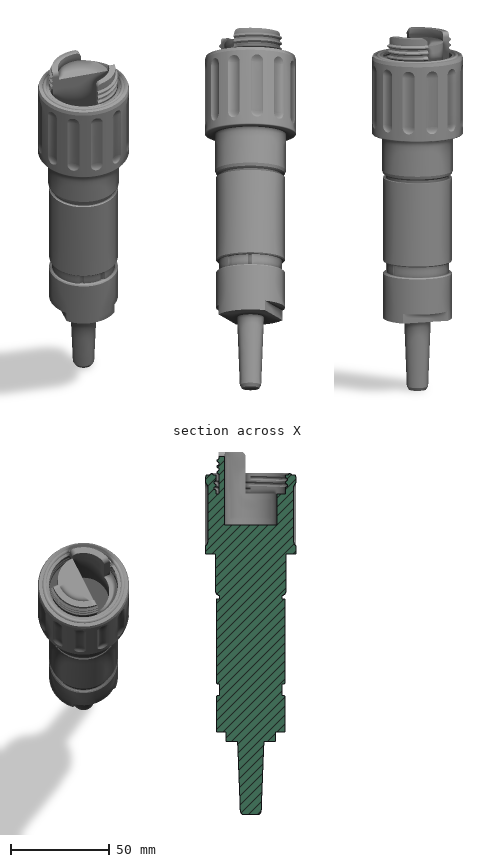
import cadquery as cq
import math

total_height = 184.2
nut_bottom = 37.0
nut_top = 60.8
sleeve_bottom = 66.3
sleeve_top = 109.8
seal_groove_top = 111.0
shell_bottom = 112.0
shell_chamfer_top = 113.5
collar_bottom = 132.3
collar_top = 172.8
recess_floor = 163.0
socket_floor = 147.4

tip_radius = 4.5
cable_bottom_radius = 5.43
cable_top_radius = 6.8
cable_tip_chamfer = 1.7
nut_radius = 17.5
neck_radius = 16.0
shell_radius = 18.0
shell_lip_radius = 17.5
collar_radius = 23.2
nut_chamfer = 0.5

flat_half_distance = 12.7
flat_height = 5.0

finger_radius = 15.5
finger_half_width = 4.6
finger_slot_width = 2.0
finger_slot_floor = 14.0

collar_top_chamfer = 1.7
collar_top_chamfer_width = 0.5
collar_bottom_fillet = 0.5
lip_center_radius = 19.9
lip_half_width = 1.0
lip_height = 0.5
recess_radius = 17.5
flute_count = 12
flute_half_width = 3.3
flute_depth = 1.5
flute_radius = (flute_half_width**2 + flute_depth**2) / (2 * flute_depth)
flute_center_radius = collar_radius - flute_depth + flute_radius
flute_bottom = 136.3
flute_top = 168.7

plug_radius = 16.2
plug_bore_radius = 13.0
core_top = 179.8
end_gap = 2.5
end_fillet = 2.4

thread_pitch = 3.0
thread_depth = 1.1
thread_root_width = 2.4
thread_crest_width = 0.5
thread_overlap = 0.2
outer_thread_bottom = 173.2
outer_thread_turns = 3
inner_thread_bottom = 165.0
inner_thread_turns = 2


def box_between(x_range, y_range, z_range):
    """Axis-aligned box given by its limits along each axis."""
    size = [limits[1] - limits[0] for limits in (x_range, y_range, z_range)]
    corner = (x_range[0], y_range[0], z_range[0])
    return cq.Workplane("XY").box(*size, centered=False).translate(corner)


def cylinder(radius, bottom, top):
    return cq.Workplane("XY").workplane(offset=bottom).circle(radius).extrude(top - bottom)


def turned_body():
    """Cable sleeve, gland nut, neck, sleeve, seal groove and shell, as one revolved outline."""
    outline = [
        (0, 0),
        (tip_radius, 0),
        (cable_bottom_radius, cable_tip_chamfer),
        (cable_top_radius, nut_bottom),
        (nut_radius, nut_bottom),
        (nut_radius, nut_top - nut_chamfer),
        (nut_radius - nut_chamfer, nut_top),
        (neck_radius, nut_top),
        (neck_radius, sleeve_bottom),
        (nut_radius - nut_chamfer, sleeve_bottom),
        (nut_radius, sleeve_bottom + nut_chamfer),
        (nut_radius, sleeve_top),
        (neck_radius, sleeve_top),
        (neck_radius, seal_groove_top),
        (shell_lip_radius, shell_bottom),
        (shell_radius, shell_chamfer_top),
        (shell_radius, collar_bottom),
        (0, collar_bottom),
    ]
    return cq.Workplane("XZ").polyline(outline).close().revolve(360, (0, 0), (0, 1))


def wrench_flats():
    """Material removed from the -Y and +Y sides of the nut's lower end."""
    z_range = (nut_bottom, nut_bottom + flat_height)
    x_range = (-nut_radius, nut_radius)
    front = box_between(x_range, (-nut_radius, -flat_half_distance), z_range)
    return front.union(front.mirror("XZ"))


def finger_cuts():
    """Slots either side of a slightly lowered finger, on the -X and +X sides of the neck."""
    z_range = (nut_top, sleeve_bottom)
    x_range = (finger_slot_floor, neck_radius)
    lowered = box_between(x_range, (-finger_half_width, finger_half_width), z_range)
    cuts = lowered.cut(cylinder(finger_radius, *z_range))
    slot = box_between(x_range, (finger_half_width, finger_half_width + finger_slot_width), z_range)
    cuts = cuts.union(slot).union(slot.mirror("XZ"))
    return cuts.union(cuts.mirror("YZ"))


def flute():
    """Round-ended gripping flute at the -Y side of the collar."""
    bottom_center = flute_bottom + flute_half_width
    top_center = flute_top - flute_half_width
    bar = cylinder(flute_radius, bottom_center, top_center)
    for height in (bottom_center, top_center):
        bar = bar.union(cq.Workplane("XY").sphere(flute_radius).translate((0, 0, height)))
    return bar.translate((0, -flute_center_radius, 0))


def helical_ridge(radius, bottom, turns):
    """Trapezoidal ridge wound round Z, its root just inside the given radius."""
    path = cq.Wire.makeHelix(thread_pitch, thread_pitch * turns, radius)
    root = radius - thread_overlap
    crest = radius + thread_depth
    half_root = thread_root_width / 2
    half_crest = thread_crest_width / 2
    profile = [(root, -half_root), (crest, -half_crest), (crest, half_crest), (root, half_root)]
    ridge = cq.Workplane("XZ").polyline(profile).close().sweep(cq.Workplane(path), isFrenet=True)
    return ridge.translate((0, 0, bottom))


def collar():
    """Fluted coupling ring with a domed top lip and a threaded recess."""
    body = cylinder(collar_radius, collar_bottom, collar_top)
    body = body.faces("<Z").edges().fillet(collar_bottom_fillet)
    body = body.faces(">Z").edges().chamfer(collar_top_chamfer, collar_top_chamfer_width)
    lip = (
        cq.Workplane("XZ")
        .moveTo(lip_center_radius - lip_half_width, collar_top)
        .threePointArc(
            (lip_center_radius, collar_top + lip_height),
            (lip_center_radius + lip_half_width, collar_top),
        )
        .close()
        .revolve(360, (0, 0), (0, 1))
    )
    body = body.union(lip)
    body = body.cut(cylinder(recess_radius, recess_floor, collar_top))
    body = body.cut(helical_ridge(recess_radius, inner_thread_bottom, inner_thread_turns))
    for index in range(flute_count):
        body = body.cut(flute().rotate((0, 0, 0), (0, 0, 1), index * 360 / flute_count))
    return body


def corner_rounding(plane, edge, direction, length):
    """Waste outside a rounded top corner of a wall that runs from the edge in the given direction."""
    diagonal = end_fillet * (1 - math.cos(math.pi / 4))
    return (
        cq.Workplane(plane)
        .moveTo(edge, total_height)
        .lineTo(edge, total_height - end_fillet)
        .threePointArc(
            (edge + direction * diagonal, total_height - diagonal),
            (edge + direction * end_fillet, total_height),
        )
        .close()
        .extrude(length)
    )


def opening():
    """Gap in the plug wall over X > 0, Y < end_gap, with the wall's upper corners rounded off."""
    reach = 2 * plug_radius
    height = total_height - recess_floor
    gap = box_between((0, reach), (-reach, end_gap), (recess_floor, total_height))
    x_rounding = corner_rounding("XZ", 0, -1, reach)
    y_rounding = corner_rounding("YZ", end_gap, 1, reach)
    return gap.union(x_rounding).union(y_rounding)


def half_bore(bottom, top):
    """Socket on the +X half of the plug bore."""
    half = box_between((0, plug_radius), (-plug_radius, plug_radius), (bottom, top))
    return half.intersect(cylinder(plug_bore_radius, bottom, top))


def plug():
    """Two opposed threaded wall segments and the half-round core between them."""
    wall = cylinder(plug_radius, recess_floor, total_height)
    wall = wall.union(helical_ridge(plug_radius, outer_thread_bottom, outer_thread_turns))
    wall = wall.cut(cylinder(plug_bore_radius, recess_floor, total_height))
    wall = wall.cut(opening())
    wall = wall.cut(opening().rotate((0, end_gap, 0), (0, end_gap, 1), 180))
    core = cylinder(plug_bore_radius, recess_floor, core_top)
    return wall.union(core)


body = turned_body().cut(wrench_flats()).cut(finger_cuts())
result = body.union(collar()).union(plug()).cut(half_bore(socket_floor, total_height))